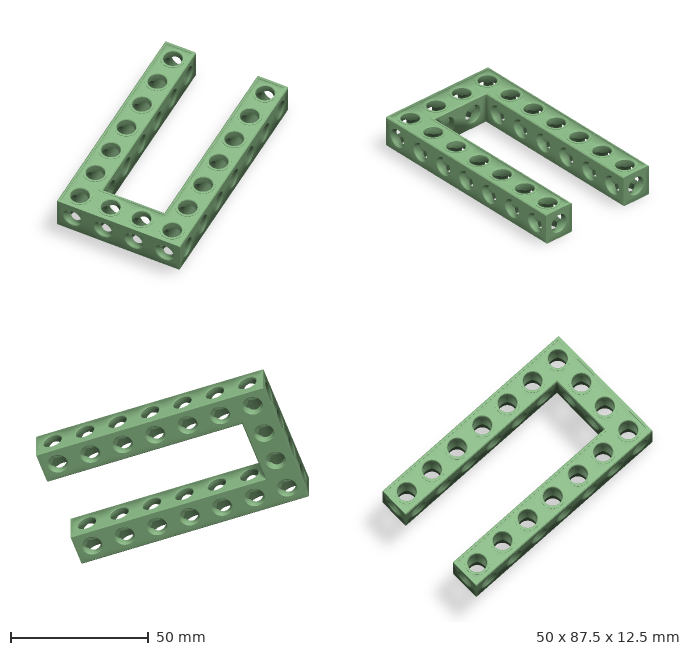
import cadquery as cq

length = 87.5
cells_long = 7
cells_wide = 4
pitch = length / cells_long
width = cells_wide * pitch
height = pitch

hole_diameter = 7.0
hole_chamfer = 0.3
edge_chamfer = 0.35

border = 1.05
collar_diameter = 9.2
recess_depth = 0.2

columns = [(i - (cells_wide - 1) / 2) * pitch for i in range(cells_wide)]
rows = [(i - (cells_long - 1) / 2) * pitch for i in range(cells_long)]
leg_columns = (columns[0], columns[-1])
mid_height = height / 2
top_centres = [(x, y) for x in columns for y in rows if y == rows[0] or x in leg_columns]


def u_prism(inset, base, depth):
    """U-shaped prism, open towards +Y, with its outline moved inwards by inset."""
    outer_x = width / 2 - inset
    inner_x = width / 2 - pitch + inset
    bottom_y = -length / 2 + inset
    floor_y = -length / 2 + pitch - inset
    end_y = length / 2 - inset
    outline = [
        (-outer_x, bottom_y),
        (outer_x, bottom_y),
        (outer_x, end_y),
        (inner_x, end_y),
        (inner_x, floor_y),
        (-inner_x, floor_y),
        (-inner_x, end_y),
        (-outer_x, end_y),
    ]
    return cq.Workplane("XY").workplane(offset=base).polyline(outline).close().extrude(depth)


def chamfered_hole(start, direction, depth):
    """Cutter for a through hole with a chamfer at both mouths."""
    radius = hole_diameter / 2
    mouth = radius + hole_chamfer
    profile = [
        (0, 0),
        (mouth, 0),
        (radius, hole_chamfer),
        (radius, depth - hole_chamfer),
        (mouth, depth),
        (0, depth),
    ]
    side = cq.Vector(0, 1, 0) if direction[0] else cq.Vector(1, 0, 0)
    plane = cq.Plane(origin=start, xDir=side, normal=side.cross(cq.Vector(*direction)))
    return cq.Workplane(plane).polyline(profile).close().revolve(360, (0, 0, 0), (0, 1, 0))


def top_recess():
    """Cutter for the recess in the top face, without the collars."""
    floor = height - recess_depth
    collars = (
        cq.Workplane("XY").workplane(offset=floor)
        .pushPoints(top_centres).circle(collar_diameter / 2).extrude(recess_depth)
    )
    return u_prism(border, floor, recess_depth).cut(collars)


def hole_cutters():
    """Cutters for the holes along all three axes."""
    cutters = [chamfered_hole((x, y, 0), (0, 0, 1), height) for x, y in top_centres]

    cutters.append(chamfered_hole((-width / 2, rows[0], mid_height), (1, 0, 0), width))
    for y in rows[1:]:
        for leg_x in leg_columns:
            cutters.append(chamfered_hole((leg_x - pitch / 2, y, mid_height), (1, 0, 0), pitch))

    for x in columns:
        depth = length if x in leg_columns else pitch
        cutters.append(chamfered_hole((x, -length / 2, mid_height), (0, 1, 0), depth))
    return cutters


body = u_prism(0, 0, height).edges("not |Z or <Y or >Y").chamfer(edge_chamfer)
body = body.cut(top_recess())
for cutter in hole_cutters():
    body = body.cut(cutter)

result = body